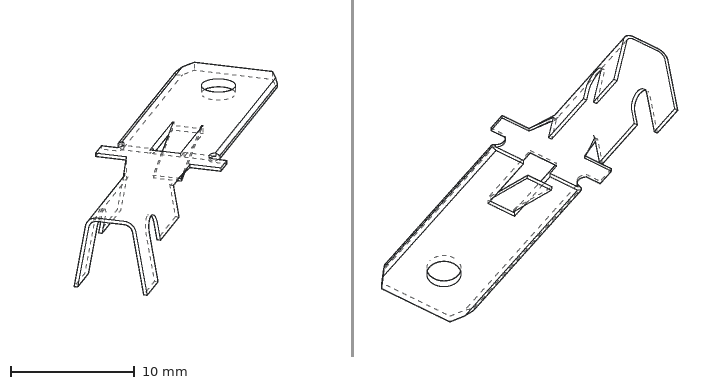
import cadquery as cq
import math

length = 33.75
sheet = 0.3
tip_y = length / 2
tail_y = -length / 2

blade_half = 4.32
blade_thickness = 0.7
blade_end_y = -0.88
tip_half = 3.3
tip_taper = 1.92
bevel_width = 0.37
bevel_height = 0.22
hole_radius = 1.4
hole_y = tip_y - 4.1

bar_half = 10.6 / 2
bar_top_y = -2.15
bar_bottom_y = -3.8
neck_half = 3.98
notch_depth = 0.37

window_half = 1.28
window_top_y = 4.32
window_bottom_y = -1.85
tongue_half = 1.18
tongue_end_y = -1.35
tongue_angle = math.radians(24)
tongue_bend_radius = 1.1

channel_start_y = -6.55
channel_flat_half = 1.15
bend_radius = 1.0
leg_angle = math.radians(80)
leg_depth = 6.25
front_leg_depth = 3.55
gap_front_y = -11.67
gap_back_y = -13.87
gap_top_z = -1.0

transition_half = 2.7
transition_start_angle = math.radians(2)


def bend_point(flat_half, radius, angle):
    """Point on a channel bend of the given radius, as (distance from the middle, Z)."""
    return (
        flat_half + radius * math.sin(angle),
        -bend_radius + radius * math.cos(angle),
    )


def channel_section(y, flat_half, angle, leg_length=0.0):
    """Closed sheet section across the channel: flat, two bends and optional straight legs."""
    inner_radius = bend_radius - sheet
    outer_start = bend_point(flat_half, bend_radius, 0)
    outer_mid = bend_point(flat_half, bend_radius, angle / 2)
    outer_end = bend_point(flat_half, bend_radius, angle)
    inner_start = bend_point(flat_half, inner_radius, 0)
    inner_mid = bend_point(flat_half, inner_radius, angle / 2)
    inner_end = bend_point(flat_half, inner_radius, angle)

    def along_leg(point):
        return (
            point[0] + leg_length * math.cos(angle),
            point[1] - leg_length * math.sin(angle),
        )

    def mirror(point):
        return (-point[0], point[1])

    section = cq.Workplane("XZ", origin=(0, y, 0)).moveTo(*mirror(outer_start))
    section = section.lineTo(*outer_start).threePointArc(outer_mid, outer_end)
    if leg_length:
        section = section.lineTo(*along_leg(outer_end)).lineTo(*along_leg(inner_end))
    section = section.lineTo(*inner_end).threePointArc(inner_mid, inner_start)
    section = section.lineTo(*mirror(inner_start))
    section = section.threePointArc(mirror(inner_mid), mirror(inner_end))
    if leg_length:
        section = section.lineTo(*mirror(along_leg(inner_end)))
        section = section.lineTo(*mirror(along_leg(outer_end)))
    section = section.lineTo(*mirror(outer_end))
    return section.threePointArc(mirror(outer_mid), mirror(outer_start)).close()


def make_blade():
    """Blade with bevelled long edges, tapered tip and round hole."""
    bevel_half = blade_half - bevel_width
    profile = [
        (-bevel_half, 0),
        (bevel_half, 0),
        (blade_half, -bevel_height),
        (blade_half, bevel_height - blade_thickness),
        (bevel_half, -blade_thickness),
        (-bevel_half, -blade_thickness),
        (-blade_half, bevel_height - blade_thickness),
        (-blade_half, -bevel_height),
    ]
    outline = [
        (-blade_half, blade_end_y),
        (blade_half, blade_end_y),
        (blade_half, tip_y - tip_taper),
        (tip_half, tip_y),
        (-tip_half, tip_y),
        (-blade_half, tip_y - tip_taper),
    ]
    bar = cq.Workplane("XZ", origin=(0, tip_y, 0)).polyline(profile).close()
    bar = bar.extrude(tip_y - blade_end_y)
    plan = cq.Workplane("XY").polyline(outline).close().extrude(-blade_thickness)
    hole = cq.Workplane("XY").center(0, hole_y).circle(hole_radius).extrude(-blade_thickness)
    return bar.intersect(plan).cut(hole)


def make_cross_bar():
    """Cross bar and the neck with a round notch on each side."""
    notch_y = (blade_end_y + bar_top_y) / 2
    notch_x = neck_half - notch_depth
    return (
        cq.Workplane("XY")
        .moveTo(-neck_half, blade_end_y)
        .lineTo(neck_half, blade_end_y)
        .threePointArc((notch_x, notch_y), (neck_half, bar_top_y))
        .lineTo(bar_half, bar_top_y)
        .lineTo(bar_half, bar_bottom_y)
        .lineTo(-bar_half, bar_bottom_y)
        .lineTo(-bar_half, bar_top_y)
        .lineTo(-neck_half, bar_top_y)
        .threePointArc((-notch_x, notch_y), (-neck_half, blade_end_y))
        .close()
        .extrude(-sheet)
    )


def make_window():
    """Cutter for the rectangular window around the tongue."""
    return (
        cq.Workplane("XY")
        .center(0, (window_top_y + window_bottom_y) / 2)
        .rect(2 * window_half, window_top_y - window_bottom_y)
        .extrude(-blade_thickness)
    )


def make_tongue():
    """Spring tongue: a bend at the window end, then a straight slope downwards."""
    lower_radius = tongue_bend_radius - sheet

    def on_bend(radius, angle):
        return (
            window_top_y - radius * math.sin(angle),
            -tongue_bend_radius + radius * math.cos(angle),
        )

    upper_end = on_bend(tongue_bend_radius, tongue_angle)
    lower_end = on_bend(lower_radius, tongue_angle)
    slope_run = upper_end[0] - tongue_end_y
    slope_drop = slope_run * math.tan(tongue_angle)
    return (
        cq.Workplane("YZ")
        .moveTo(window_top_y, 0)
        .threePointArc(on_bend(tongue_bend_radius, tongue_angle / 2), upper_end)
        .lineTo(tongue_end_y, upper_end[1] - slope_drop)
        .lineTo(lower_end[0] - slope_run, lower_end[1] - slope_drop)
        .lineTo(*lower_end)
        .threePointArc(on_bend(lower_radius, tongue_angle / 2), (window_top_y, -sheet))
        .close()
        .extrude(tongue_half, both=True)
    )


def make_transition():
    """Ruled sheet from the flat cross bar to the bent channel."""
    start_half = transition_half - bend_radius * math.sin(transition_start_angle)
    start = channel_section(bar_bottom_y, start_half, transition_start_angle)
    end = channel_section(channel_start_y, channel_flat_half, leg_angle)
    wires = [start.wires().val(), end.wires().val()]
    return cq.Workplane("XY").add(cq.Solid.makeLoft(wires, True))


def make_channel():
    """Bent channel, with its legs trimmed to the side outline."""
    channel = channel_section(channel_start_y, channel_flat_half, leg_angle, leg_depth)
    channel = channel.extrude(channel_start_y - tail_y)
    gap_radius = (gap_front_y - gap_back_y) / 2
    gap_spring_z = gap_top_z - gap_radius
    side = (
        cq.Workplane("YZ")
        .moveTo(channel_start_y, 0)
        .lineTo(channel_start_y, -front_leg_depth)
        .lineTo(gap_front_y, -front_leg_depth)
        .lineTo(gap_front_y, gap_spring_z)
        .threePointArc(
            ((gap_front_y + gap_back_y) / 2, gap_top_z),
            (gap_back_y, gap_spring_z),
        )
        .lineTo(gap_back_y, -leg_depth)
        .lineTo(tail_y, -leg_depth)
        .lineTo(tail_y, 0)
        .close()
        .extrude(bar_half, both=True)
    )
    return channel.intersect(side)


flat_part = make_blade().union(make_cross_bar()).cut(make_window())
result = flat_part.union(make_tongue()).union(make_transition()).union(make_channel())